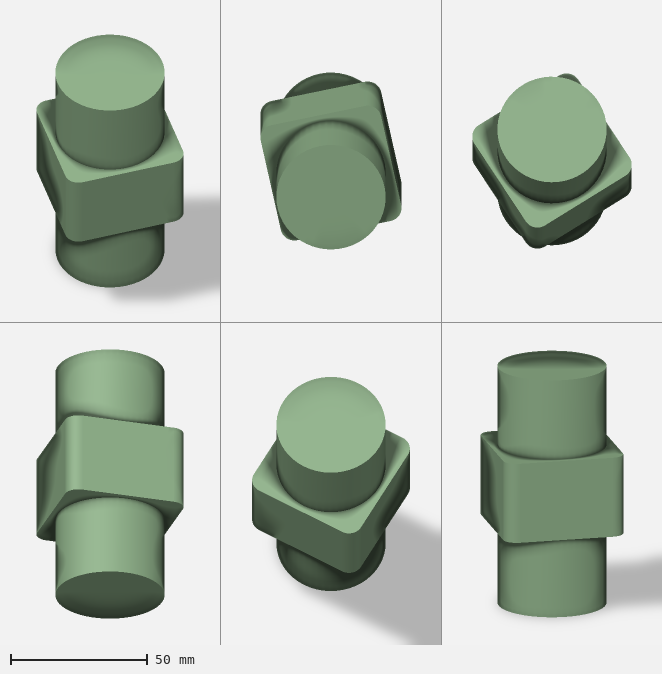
import cadquery as cq

total_height = 90.0
block_width = 45.0
corner_radius = 5.0
shaft_diameter = 40.0

block_height = total_height / 3

shaft = cq.Workplane("XY").circle(shaft_diameter / 2).extrude(total_height / 2, both=True)

block = (
    cq.Workplane("XY")
    .box(block_width, block_width, block_height)
    .edges("|Z")
    .fillet(corner_radius)
)

result = shaft.union(block)